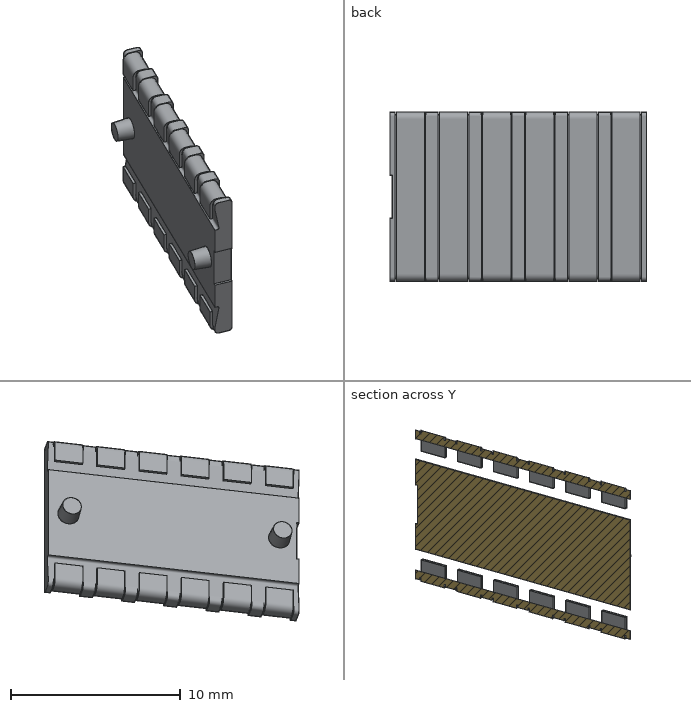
import cadquery as cq

length = 15.14
overall_height = 10.0
overall_depth = 2.1
plate_depth = 1.09
edge_radius = 0.25

relief_start = 0.48
relief_end = 2.05
relief_depth = 0.27
relief_radius = 0.12

strip_count = 6
strip_pitch = 2.55
strip_width = 1.67
strip_thickness = 0.17
strip_setback = 0.14
strip_proud = 0.02
strip_leg = 1.45
channel_width = 1.8

pin_base_diameter = 1.27
pin_tip_diameter = 1.12

notch_depth = 0.14
notch_height = 2.51

plate_height = overall_height - 2 * strip_proud
back_y = overall_depth / 2
front_y = back_y - plate_depth
pin_length = overall_depth - plate_depth
strip_outer_radius = edge_radius + strip_thickness
strip_back_y = back_y - strip_setback
strip_front_y = front_y - strip_thickness
core_back_y = strip_back_y - strip_thickness
core_height = overall_height - 2 * strip_thickness
strip_span = strip_pitch * (strip_count - 1)
strip_places = [i * strip_pitch - strip_span / 2 for i in range(strip_count)]


def block(x_size, y_min, y_max, z_size):
    """Box centred on X and Z, between two Y positions."""
    return cq.Workplane("XY").box(x_size, y_max - y_min, z_size).translate((0, (y_min + y_max) / 2, 0))


def rounded_block(x_size, y_min, y_max, z_size, radius):
    """Block with its four X-direction edges rounded."""
    return block(x_size, y_min, y_max, z_size).edges("|X").fillet(radius)


def make_relief():
    """Wedge removed along the upper front edge of the plate."""
    start_z = plate_height / 2 - relief_start
    end_z = plate_height / 2 - relief_end
    floor_y = front_y + relief_depth
    wedge = (
        cq.Workplane("YZ")
        .polyline([(front_y, start_z), (floor_y, end_z), (front_y, end_z)])
        .close()
        .extrude(length / 2, both=True)
    )
    return wedge.edges("|X and >Y").fillet(relief_radius)


def make_plate():
    relief = make_relief()
    plate = rounded_block(length, front_y, back_y, plate_height, edge_radius)
    return plate.cut(relief).cut(relief.mirror("XY"))


def make_channel():
    """Space around the plate core that one strip wraps through."""
    core = rounded_block(channel_width, front_y, core_back_y, core_height, edge_radius)
    return block(channel_width, front_y, back_y, plate_height).cut(core)


def make_strip():
    """C-shaped strip, open at the front between its two legs."""
    outer = rounded_block(strip_width, strip_front_y, strip_back_y, overall_height, strip_outer_radius)
    inner = rounded_block(strip_width, front_y, core_back_y, core_height, edge_radius)
    opening = block(strip_width, strip_front_y, front_y, overall_height - 2 * strip_leg)
    return outer.cut(inner).cut(opening)


def make_pin():
    """Tapered pin pointing toward -Y, revolved about its own axis."""
    tip_y = front_y - pin_length
    half_section = [(0, front_y), (-pin_base_diameter / 2, front_y), (-pin_tip_diameter / 2, tip_y), (0, tip_y)]
    return cq.Workplane("XY").polyline(half_section).close().revolve(360, (0, 0, 0), (0, 1, 0))


def make_notch():
    return block(2 * notch_depth, front_y, back_y, notch_height).translate((length / 2, 0, 0))


result = make_plate().cut(make_notch())

channel = make_channel()
strip = make_strip()
for x in strip_places:
    result = result.cut(channel.translate((x, 0, 0)))
    result = result.union(strip.translate((x, 0, 0)))

pin = make_pin()
for x in (strip_places[0], strip_places[-1]):
    result = result.union(pin.translate((x, 0, 0)))